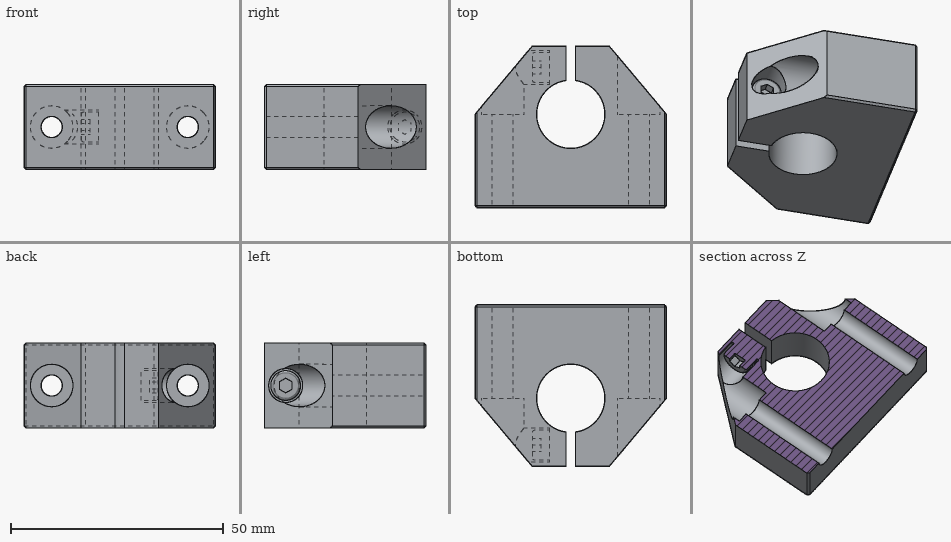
import cadquery as cq
import math

width = 45.0
height = 20.0
back_y = 16.0
front_y = -22.0
slant_start_y = 0.0
slant_angle = 50.0
edge_chamfer = 0.5

bore_diameter = 16.0
slot_width = 2.2

mount_spacing = 32.0
mount_diameter = 4.92
counterbore_diameter = 10.0
counterbore_floor_y = slant_start_y

screw_y = 11.0
recess_diameter = 8.0
recess_floor_x = -5.0
head_diameter = 7.0
head_height = 4.0
head_rim_radius = 0.5
hex_across_flats = 3.0
hex_depth = 2.0

half_width = width / 2
back_half_width = half_width - (back_y - slant_start_y) / math.tan(math.radians(slant_angle))


def make_block():
    """Six-sided block with chamfers round the front face and along the side faces."""
    outline = [
        (-half_width, front_y),
        (half_width, front_y),
        (half_width, slant_start_y),
        (back_half_width, back_y),
        (-back_half_width, back_y),
        (-half_width, slant_start_y),
    ]
    block = cq.Workplane("XY").polyline(outline).close().extrude(height / 2, both=True)
    front_edges = block.faces("<Y").edges()
    side_edges = block.faces("<X or >X").edges("|Y")
    return block.newObject(front_edges.vals() + side_edges.vals()).chamfer(edge_chamfer)


def cylinder_along_x(diameter, start_x, end_x):
    """Cylinder on the clamp screw axis."""
    plane = cq.Workplane("YZ", origin=(start_x, screw_y, 0))
    return plane.circle(diameter / 2).extrude(end_x - start_x)


def cylinder_along_y(diameter, x, start_y, end_y):
    """Cylinder on a mounting hole axis."""
    plane = cq.Workplane("XZ", origin=(x, start_y, 0))
    return plane.circle(diameter / 2).extrude(start_y - end_y)


def make_shaft_clamp_cut():
    """Shaft bore and the slot that opens it to the back face."""
    bore = cq.Workplane("XY").circle(bore_diameter / 2).extrude(height / 2, both=True)
    slot = cq.Workplane("XY").box(slot_width, back_y, height, centered=(True, False, True))
    return bore.union(slot)


def make_mounting_hole(x):
    """Through hole with a counterbore entering from the back."""
    hole = cylinder_along_y(mount_diameter, x, back_y, front_y)
    counterbore = cylinder_along_y(counterbore_diameter, x, back_y, counterbore_floor_y)
    return hole.union(counterbore)


def make_screw_head():
    """Socket head with a rounded rim and a hexagonal socket, a corner pointing up."""
    head_top_x = recess_floor_x - head_height
    hex_across_corners = hex_across_flats / math.cos(math.radians(30))
    head = cylinder_along_x(head_diameter, recess_floor_x, head_top_x)
    head = head.faces("<X").edges().fillet(head_rim_radius)
    socket = (
        cq.Workplane("YZ", origin=(head_top_x, screw_y, 0))
        .transformed(rotate=(0, 0, 90))
        .polygon(6, hex_across_corners)
        .extrude(hex_depth)
    )
    return head.cut(socket)


result = make_block().cut(make_shaft_clamp_cut())
for side in (-1, 1):
    result = result.cut(make_mounting_hole(side * mount_spacing / 2))
result = result.cut(cylinder_along_x(recess_diameter, -half_width, recess_floor_x))
result = result.union(make_screw_head())